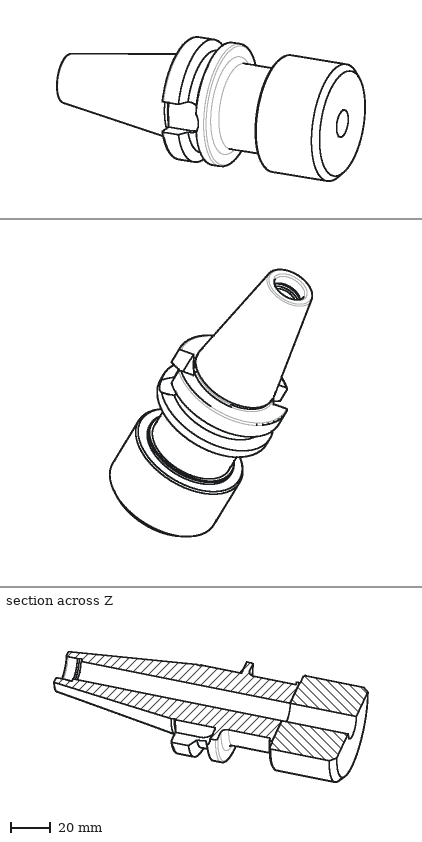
import cadquery as cq

SMALL_END_DIAMETER = 25.3
GAUGE_DIAMETER = 44.5
TAPER_LENGTH = 65.1
SMALL_END_FILLET = 0.8
UNDERCUT_DIAMETER = 43.7
UNDERCUT_CHAMFER = 1.2
UNDERCUT_FILLET = 0.8

FLANGE_START = 67.5
FLANGE_END = 92.3
FLANGE_DIAMETER = 63.0
FLANGE_FILLET = 1.0
GROOVE_DIAMETER = 52.5
GROOVE_TOP_START = 76.8
GROOVE_FLOOR_START = 79.6
GROOVE_FLOOR_END = 84.4
GROOVE_TOP_END = 87.0

SLOT_WIDTH = 16.4
SLOT_END = 88.5
SLOT_FLOOR_OFFSET = 22.4

NECK_DIAMETER = 44.0
NECK_FILLET = 3.1
COLLAR_START = 117.4
COLLAR_DIAMETER = 48.0
COLLAR_CHAMFER = 0.5

NUT_START = 119.3
NUT_END = 154.3
NUT_DIAMETER = 60.0
NUT_REAR_CHAMFER = 1.0
NUT_FRONT_CHAMFER = 3.1

BORE_DIAMETER = 13.9
PILOT_DIAMETER = 17.0
PILOT_DEPTH = 6.0
PILOT_ENTRY_FILLET = 1.0
RELIEF_DIAMETER = 17.6
RELIEF_START = 7.0
RELIEF_END = 8.5


def disc(start, end, diameter):
    """Cylinder on the X axis between two X positions."""
    return cq.Workplane("YZ", origin=(start, 0, 0)).circle(diameter / 2).extrude(end - start)


def make_shank():
    small_radius = SMALL_END_DIAMETER / 2
    gauge_radius = GAUGE_DIAMETER / 2
    undercut_radius = UNDERCUT_DIAMETER / 2
    shank = (
        cq.Workplane("XY")
        .lineTo(0, small_radius)
        .lineTo(TAPER_LENGTH, gauge_radius)
        .lineTo(TAPER_LENGTH + UNDERCUT_CHAMFER, undercut_radius)
        .lineTo(FLANGE_START - UNDERCUT_FILLET, undercut_radius)
        .radiusArc((FLANGE_START, undercut_radius + UNDERCUT_FILLET), -UNDERCUT_FILLET)
        .lineTo(FLANGE_START, 0)
        .close()
        .revolve(360, (0, 0, 0), (1, 0, 0))
    )
    return shank.faces("<X").fillet(SMALL_END_FILLET)


def make_flange():
    outer_radius = FLANGE_DIAMETER / 2
    groove_radius = GROOVE_DIAMETER / 2
    flange = disc(FLANGE_START, FLANGE_END, FLANGE_DIAMETER).faces("<X or >X").fillet(FLANGE_FILLET)
    groove = (
        cq.Workplane("XY")
        .moveTo(GROOVE_TOP_START, outer_radius)
        .lineTo(GROOVE_FLOOR_START, groove_radius)
        .lineTo(GROOVE_FLOOR_END, groove_radius)
        .lineTo(GROOVE_TOP_END, outer_radius)
        .close()
        .revolve(360, (0, 0, 0), (1, 0, 0))
    )
    return flange.cut(groove)


def make_neck():
    """Neck with a concave fillet at the flange and a collar at the nut."""
    neck_radius = NECK_DIAMETER / 2
    neck = (
        cq.Workplane("XY")
        .moveTo(FLANGE_END, 0)
        .lineTo(FLANGE_END, neck_radius + NECK_FILLET)
        .radiusArc((FLANGE_END + NECK_FILLET, neck_radius), -NECK_FILLET)
        .lineTo(NUT_START, neck_radius)
        .lineTo(NUT_START, 0)
        .close()
        .revolve(360, (0, 0, 0), (1, 0, 0))
    )
    collar = disc(COLLAR_START, NUT_START, COLLAR_DIAMETER).faces("<X").chamfer(COLLAR_CHAMFER)
    return neck.union(collar)


def make_drive_slot(side):
    """Round-ended slot cutter; side is -1 for -Y and +1 for +Y."""
    half_width = SLOT_WIDTH / 2
    round_center = SLOT_END - half_width
    depth = FLANGE_DIAMETER / 2 - SLOT_FLOOR_OFFSET
    return (
        cq.Workplane("XZ", origin=(0, side * SLOT_FLOOR_OFFSET, 0))
        .moveTo(FLANGE_START, -half_width)
        .lineTo(round_center, -half_width)
        .threePointArc((SLOT_END, 0), (round_center, half_width))
        .lineTo(FLANGE_START, half_width)
        .close()
        .extrude(-side * depth)
    )


def make_bore():
    """Cutter with a rounded entry, a pilot bore, a slightly wider relief and a through hole."""
    pilot_radius = PILOT_DIAMETER / 2
    relief_radius = RELIEF_DIAMETER / 2
    bore_radius = BORE_DIAMETER / 2
    return (
        cq.Workplane("XY")
        .lineTo(0, pilot_radius + PILOT_ENTRY_FILLET)
        .radiusArc((PILOT_ENTRY_FILLET, pilot_radius), -PILOT_ENTRY_FILLET)
        .lineTo(PILOT_DEPTH, pilot_radius)
        .lineTo(RELIEF_START, relief_radius)
        .lineTo(RELIEF_END, relief_radius)
        .lineTo(RELIEF_END, bore_radius)
        .lineTo(NUT_START, bore_radius)
        .lineTo(NUT_START, 0)
        .close()
        .revolve(360, (0, 0, 0), (1, 0, 0))
    )


def make_holder():
    holder = make_shank().union(make_flange()).union(make_neck())
    for side in (-1, 1):
        holder = holder.cut(make_drive_slot(side))
    return holder.cut(make_bore())


def make_nut():
    nut = disc(NUT_START, NUT_END, NUT_DIAMETER)
    nut = nut.faces("<X").chamfer(NUT_REAR_CHAMFER)
    nut = nut.faces(">X").chamfer(NUT_FRONT_CHAMFER)
    return nut.cut(disc(NUT_START, NUT_END, BORE_DIAMETER))


holder = make_holder()
nut = make_nut()
result = cq.Compound.makeCompound([holder.val(), nut.val()])